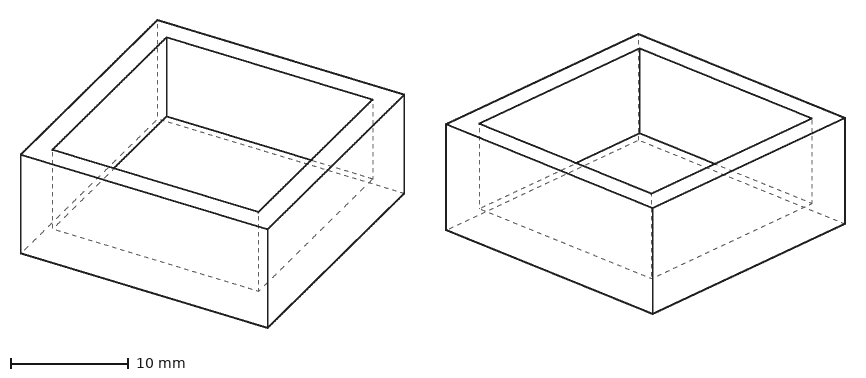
import cadquery as cq

side = 24.0
height = 10.0
wall = 2.0
floor = wall

cavity_side = side - 2 * wall
cavity_depth = height - floor

block = cq.Workplane("XY").rect(side, side).extrude(height)

result = block.faces(">Z").workplane().rect(cavity_side, cavity_side).cutBlind(-cavity_depth)